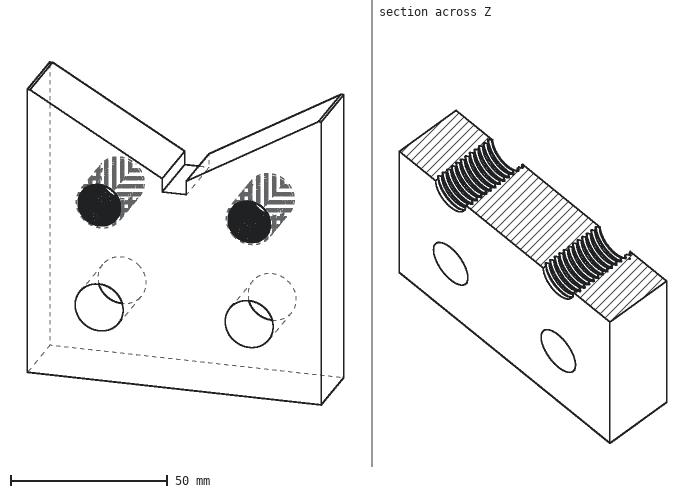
import cadquery as cq
import math

width = 98.0
thickness = 25.0
height = 97.0

tip_flat = 0.96
seat_slope = math.radians(30)
slot_width = 8.0
slot_floor = 67.0

hole_spacing = 50.0
plain_diameter = 16.0
plain_height = 25.0
threaded_height = 60.0

thread_major = 16.0
thread_pitch = 2.0
thread_minor = 14.0
groove_half_mouth = 0.65
groove_half_root = thread_pitch / 16
first_groove = thread_pitch / 2
groove_count = int(thickness // thread_pitch)


def make_block():
    """Plate with the V seat and relief slot cut into its top edge."""
    half_width = width / 2
    half_slot = slot_width / 2
    seat_edge = half_width - tip_flat
    seat_root = height - (seat_edge - half_slot) * math.tan(seat_slope)
    outline = [
        (-half_width, 0),
        (half_width, 0),
        (half_width, height),
        (seat_edge, height),
        (half_slot, seat_root),
        (half_slot, slot_floor),
        (-half_slot, slot_floor),
        (-half_slot, seat_root),
        (-seat_edge, height),
        (-half_width, height),
    ]
    return cq.Workplane("XZ").polyline(outline).close().extrude(-thickness)


def make_plain_cutter():
    """Cylinder along Y that cuts a plain through hole."""
    return cq.Workplane("XZ").circle(plain_diameter / 2).extrude(-thickness)


def make_thread_cutter():
    """Through bore along Y with a trapezoidal ring for every thread groove."""
    bore_radius = thread_minor / 2
    root_radius = thread_major / 2
    profile = [(0, 0), (bore_radius, 0)]
    for index in range(groove_count):
        centre = first_groove + index * thread_pitch
        profile += [
            (bore_radius, centre - groove_half_mouth),
            (root_radius, centre - groove_half_root),
            (root_radius, centre + groove_half_root),
            (bore_radius, centre + groove_half_mouth),
        ]
    profile += [(bore_radius, thickness), (0, thickness)]
    return cq.Workplane("XY").polyline(profile).close().revolve(360, (0, 0, 0), (0, 1, 0))


result = make_block()
for hole_x in (-hole_spacing / 2, hole_spacing / 2):
    result = result.cut(make_plain_cutter().translate((hole_x, 0, plain_height)))
    result = result.cut(make_thread_cutter().translate((hole_x, 0, threaded_height)))